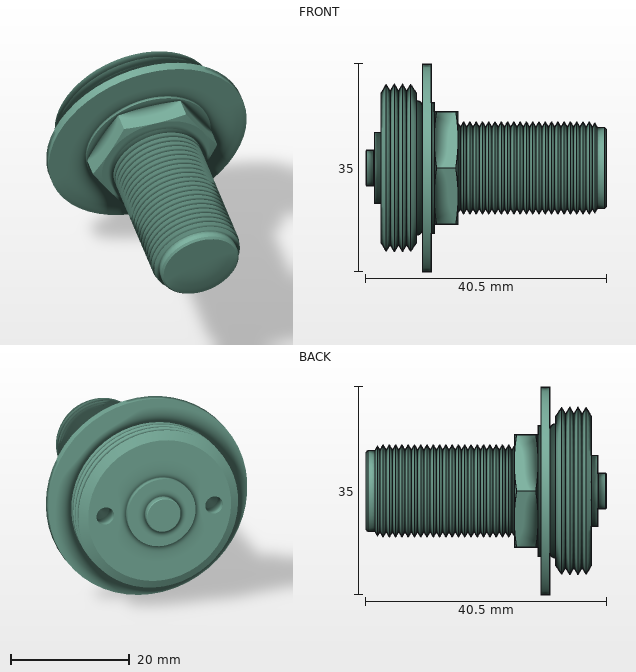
import cadquery as cq
import math


overall_length = 40.5
boss_front = 1.4
collar_front = 2.5
collar_back = 8.55
washer_front = 9.5
washer_thickness = 1.5
lock_washer_thickness = 0.5
nut_thickness = 4.0
lock_washer_front = washer_front + washer_thickness
nut_front = lock_washer_front + lock_washer_thickness

pin_radius = 3.0
pin_chamfer = 0.12

thread_flank_slope = math.tan(math.radians(60))

boss_radius = 6.0
collar_face_radius = 12.55
collar_crest_radius = 14.15
collar_end_crest_radius = 14.05
collar_crest_count = 4
collar_first_crest = 3.4
collar_pitch = 1.38
collar_root_radius = collar_crest_radius - collar_pitch / 2 * thread_flank_slope

barrel_crest_radius = 7.78
barrel_crest_count = 22
barrel_first_crest = 15.4
barrel_last_crest = 37.62
barrel_pitch = (barrel_last_crest - barrel_first_crest) / (barrel_crest_count - 1)
barrel_root_radius = barrel_crest_radius - barrel_pitch / 2 * thread_flank_slope
runout_crest = 38.55
runout_crest_radius = 7.57
spigot_start = 38.95
spigot_radius = 6.85
spigot_chamfer = 0.32

spanner_hole_radius = 1.55
spanner_hole_offset = 9.55
spanner_hole_depth = 3.0
drill_point_angle = 118.0

o_ring_section_radius = 1.0
o_ring_mean_radius = 10.33

washer_radius = 17.5
lock_washer_radius = 11.0
nut_across_flats = 19.05
nut_chamfer_angle = 15.0


def revolve_about_x(profile):
    """Turn an outline of (x, radius) points about the X axis."""
    return cq.Workplane("XZ").polyline(profile).close().revolve(360, (0, 0, 0), (1, 0, 0))


def disc(start, thickness, radius):
    return cq.Workplane("YZ", origin=(start, 0, 0)).circle(radius).extrude(thickness)


def make_pin():
    return disc(0, boss_front, pin_radius).edges().chamfer(pin_chamfer)


def collar_outline():
    """Outer outline of the collar thread, from its front face to its back face."""
    points = [(collar_front, collar_face_radius)]
    for i in range(collar_crest_count):
        crest = collar_first_crest + i * collar_pitch
        is_end_crest = i in (0, collar_crest_count - 1)
        radius = collar_end_crest_radius if is_end_crest else collar_crest_radius
        points.append((crest, radius))
        if i < collar_crest_count - 1:
            points.append((crest + collar_pitch / 2, collar_root_radius))
    points.append((collar_back, collar_face_radius))
    return points


def barrel_outline():
    """Outer outline of the barrel: plain shank, thread ridges, runout and chamfered spigot."""
    points = [(collar_back, barrel_crest_radius)]
    for i in range(barrel_crest_count):
        crest = barrel_first_crest + i * barrel_pitch
        points.append((crest, barrel_crest_radius))
        points.append((crest + barrel_pitch / 2, barrel_root_radius))
    points += [
        (runout_crest, runout_crest_radius),
        (spigot_start, spigot_radius),
        (overall_length - spigot_chamfer, spigot_radius),
        (overall_length, spigot_radius - spigot_chamfer),
    ]
    return points


def spanner_hole(y):
    """Drilled blind hole with a conical bottom, opening in the collar face."""
    tip_length = spanner_hole_radius / math.tan(math.radians(drill_point_angle / 2))
    bottom = collar_front + spanner_hole_depth
    profile = [
        (collar_front, 0),
        (collar_front, spanner_hole_radius),
        (bottom, spanner_hole_radius),
        (bottom + tip_length, 0),
    ]
    return revolve_about_x(profile).translate((0, y, 0))


def make_o_ring():
    """O-ring that touches the front of the washer."""
    centre_x = washer_front - o_ring_section_radius
    return (
        cq.Workplane("XZ")
        .center(centre_x, o_ring_mean_radius)
        .circle(o_ring_section_radius)
        .revolve(360, (-centre_x, -o_ring_mean_radius, 0), (0.4 - centre_x, -o_ring_mean_radius, 0))
    )


def make_housing(o_ring):
    boss_outline = [(boss_front, 0), (boss_front, boss_radius), (collar_front, boss_radius)]
    profile = boss_outline + collar_outline() + barrel_outline() + [(overall_length, 0)]
    housing = revolve_about_x(profile)
    for side in (-1, 1):
        housing = housing.cut(spanner_hole(side * spanner_hole_offset))
    return housing.cut(o_ring)


def make_ring(start, thickness, radius):
    """Flat washer that fits the plain shank of the barrel."""
    return disc(start, thickness, radius).cut(disc(start, thickness, barrel_crest_radius))


def make_nut():
    """Hexagon nut with corners on the Y axis, chamfered on both faces."""
    flat_radius = nut_across_flats / 2
    corner_radius = flat_radius / math.cos(math.radians(30))
    chamfer_length = (corner_radius - flat_radius) * math.tan(math.radians(nut_chamfer_angle))
    nut_back = nut_front + nut_thickness
    hexagon = (
        cq.Workplane("YZ", origin=(nut_front, 0, 0))
        .polygon(6, 2 * corner_radius)
        .extrude(nut_thickness)
    )
    chamfer_envelope = revolve_about_x([
        (nut_front, 0),
        (nut_front, flat_radius),
        (nut_front + chamfer_length, corner_radius),
        (nut_back - chamfer_length, corner_radius),
        (nut_back, flat_radius),
        (nut_back, 0),
    ])
    bore = disc(nut_front, nut_thickness, barrel_crest_radius)
    return hexagon.intersect(chamfer_envelope).cut(bore)


pin = make_pin()
o_ring = make_o_ring()
housing = make_housing(o_ring)
washer = make_ring(washer_front, washer_thickness, washer_radius)
lock_washer = make_ring(lock_washer_front, lock_washer_thickness, lock_washer_radius)
nut = make_nut()

result = cq.Compound.makeCompound([
    pin.val(),
    housing.val(),
    o_ring.val(),
    washer.val(),
    lock_washer.val(),
    nut.val(),
])